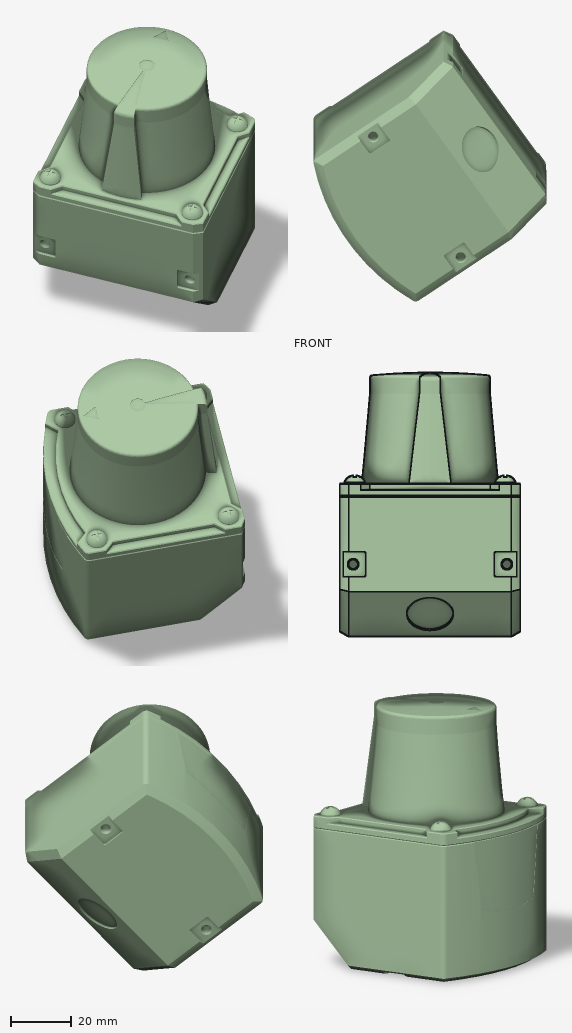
import cadquery as cq
import math

overall_width = 60.0
overall_depth = 61.0
overall_height = 87.74

casing_top = 50.85
parting_z = 46.65
back_radius = 72.0
back_corner_radius = 2.0
bevel_width = 3.0
bevel_angle = 30.0
front_slope = 15.0
edge_break = 0.3

ledge_drop = 2.0
recess_width = 3.0
side_recess_center_y = -3.0
side_recess_length = 40.5
front_recess_length = 46.0
back_recess_corner_x = 21.3
back_recess_width = 3.9
back_recess_radius = 57.0

pad_size = 8.3
pad_depth = 1.0
pad_corner_radius = 0.6
pad_offset_x = 25.5
pad_hole_diameter = 3.1
pad_hole_depth = 5.0
front_pad_z = 24.05
bottom_pad_y = 2.7
knockout_diameter = 15.4
knockout_depth = 0.8

label_depth = 0.1
label_top_half_width = 18.5
label_bottom_half_width = 15.0
label_corner_z = 23.0
label_bottom_z = 20.8

knob_base_radius = 22.7
knob_top_radius = 20.0
knob_band_z = 80.75
crown_sphere_radius = 200.0
knob_rim_radius = 1.0
pointer_radius = 23.1
pointer_rim_radius = 1.5
pointer_half_angle = 8.65
pointer_base_radius = 26.1
pointer_base_half_angle = 15.5
engraving_depth = 0.2
hub_radius = 2.6
mark_tip_y = 18.5
mark_side = 5.3

screw_x = 25.0
screw_front_y = -25.4
screw_back_y = 19.3
head_radius = 3.5
head_rim_height = 0.35
head_height = 2.8
slot_length = 4.0
slot_width = 0.9
slot_depth = 0.65

margin = 10.0
tolerance = 0.01

half_width = overall_width / 2
half_depth = overall_depth / 2
bevel_drop = bevel_width * math.tan(math.radians(bevel_angle))
back_axis_y = half_depth - back_radius
back_corner_y = back_axis_y + math.sqrt(back_radius**2 - half_width**2)
ledge_z = casing_top - ledge_drop


def plan_prism(points, bottom, top):
    """Straight-sided prism over a closed XY polygon."""
    return cq.Workplane("XY", origin=(0, 0, bottom)).polyline(points).close().extrude(top - bottom)


def plan_outline(height):
    """Plan shape: straight front and sides, bowed back with rounded corners."""
    return (
        cq.Workplane("XY")
        .moveTo(-half_width, -half_depth)
        .lineTo(half_width, -half_depth)
        .lineTo(half_width, back_corner_y)
        .threePointArc((0, half_depth), (-half_width, back_corner_y))
        .close()
        .extrude(height)
        .edges("|Z")
        .edges(">Y")
        .fillet(back_corner_radius)
    )


def bevelled_block():
    """Side profile with the sloped lower front, narrowed by bevels towards both flanks.

    The block runs past the back and the top so that only its front, slope and underside keep the bevel.
    """
    profile = [
        (-half_depth, casing_top + margin),
        (-half_depth, front_slope),
        (front_slope - half_depth, 0),
        (half_depth + margin, 0),
        (half_depth + margin, casing_top + margin),
    ]
    flat = half_width - bevel_width
    block = cq.Workplane("YZ").polyline(profile).close().extrude(flat, both=True)
    cap = (
        cq.Workplane("YZ", origin=(flat, 0, 0))
        .polyline(profile)
        .close()
        .extrude(bevel_width, taper=bevel_angle)
    )
    return block.union(cap).union(cap.mirror("YZ"))


def back_bevel_disc():
    """Disc around the back's axis whose lower rim gives the bowed bottom bevel."""
    return (
        cq.Workplane("XZ", origin=(0, back_axis_y, 0))
        .polyline([
            (0, 0),
            (back_radius - bevel_width, 0),
            (back_radius, bevel_drop),
            (back_radius, casing_top),
            (0, casing_top),
        ])
        .close()
        .revolve(360, (0, 0, 0), (0, 1, 0))
    )


def casing_blank():
    return plan_outline(casing_top).intersect(bevelled_block()).intersect(back_bevel_disc())


def slab(bottom, top):
    """Block wider than the casing between two heights."""
    size = 2 * overall_depth
    return cq.Workplane("XY", origin=(0, 0, bottom)).rect(size, size).extrude(top - bottom)


def mounting_pad(plane):
    """Square recess with a countersunk hole, sunk along the plane's inward side."""
    recess = (
        cq.Workplane(plane)
        .rect(pad_size, pad_size)
        .extrude(-pad_depth)
        .edges(cq.selectors.ParallelDirSelector(plane.zDir))
        .fillet(pad_corner_radius)
    )
    floor = cq.Workplane(plane).workplane(offset=-pad_depth)
    hole = floor.circle(pad_hole_diameter / 2).extrude(-pad_hole_depth)
    mouth_radius = pad_hole_diameter / 2 + edge_break
    mouth = floor.circle(mouth_radius).workplane(offset=-edge_break).circle(pad_hole_diameter / 2).loft()
    return recess.union(hole).union(mouth)


def knockout():
    """Shallow round recess in the middle of the sloped face."""
    slope_plane = cq.Plane(
        origin=(0, front_slope / 2 - half_depth, front_slope / 2),
        xDir=(1, 0, 0),
        normal=(0, -1, -1),
    )
    return cq.Workplane(slope_plane).circle(knockout_diameter / 2).extrude(-knockout_depth)


def label_panel():
    """Layer just under the bowed back, trimmed to a tapered panel with a curved lower edge."""
    layer = (
        cq.Workplane("XY", origin=(0, back_axis_y, 0))
        .circle(back_radius + margin)
        .circle(back_radius - label_depth)
        .extrude(casing_top)
    )
    panel = (
        cq.Workplane("XZ")
        .moveTo(-label_top_half_width, parting_z)
        .lineTo(-label_bottom_half_width, label_corner_z)
        .threePointArc((0, label_bottom_z), (label_bottom_half_width, label_corner_z))
        .lineTo(label_top_half_width, parting_z)
        .close()
        .extrude(-overall_depth)
    )
    return layer.intersect(panel)


def build_housing():
    housing = casing_blank().intersect(slab(0, parting_z))
    housing = housing.faces(">Z").edges().chamfer(edge_break)
    for x in (-pad_offset_x, pad_offset_x):
        front_plane = cq.Plane(origin=(x, -half_depth, front_pad_z), xDir=(1, 0, 0), normal=(0, -1, 0))
        bottom_plane = cq.Plane(origin=(x, bottom_pad_y, 0), xDir=(1, 0, 0), normal=(0, 0, -1))
        housing = housing.cut(mounting_pad(front_plane)).cut(mounting_pad(bottom_plane))
    return housing.cut(knockout()).cut(label_panel())


def straight_recess(length):
    """Recess along +X at y = 0, with 45 degree ends, opening towards -Y."""
    half = length / 2
    inner_half = half - recess_width
    points = [
        (-half - margin, -margin),
        (-inner_half, recess_width),
        (inner_half, recess_width),
        (half + margin, -margin),
    ]
    return plan_prism(points, ledge_z, casing_top + margin)


def back_recess():
    """Recess along the bowed back, with its own more tightly curved inner wall."""
    inner_y = half_depth - back_recess_width
    corner_drop = back_recess_radius - math.sqrt(back_recess_radius**2 - back_recess_corner_x**2)
    corner_y = inner_y - corner_drop
    end_x = back_recess_corner_x + 2 * margin
    end_y = corner_y + 2 * margin
    return (
        cq.Workplane("XY", origin=(0, 0, ledge_z))
        .moveTo(-end_x, end_y)
        .lineTo(-back_recess_corner_x, corner_y)
        .threePointArc((0, inner_y), (back_recess_corner_x, corner_y))
        .lineTo(end_x, end_y)
        .close()
        .extrude(ledge_drop + margin)
    )


class LedgeRim(cq.Selector):
    """Picks the outer edges of the recess floors."""

    def filter(self, objects):
        return [edge for edge in objects if self.is_rim(edge)]

    def is_rim(self, edge):
        middle = edge.positionAt(0.5)
        outside = max(abs(middle.x) - half_width, abs(middle.y) - half_depth)
        return abs(middle.z - ledge_z) < tolerance and abs(outside) < tolerance


def build_cover():
    cover = casing_blank().intersect(slab(parting_z, casing_top))
    cover = cover.faces("<Z").edges().chamfer(edge_break)
    cover = cover.cut(straight_recess(front_recess_length).translate((0, -half_depth, 0)))
    side = straight_recess(side_recess_length).rotate((0, 0, 0), (0, 0, 1), -90)
    side = side.translate((-half_width, side_recess_center_y, 0))
    cover = cover.cut(side).cut(side.mirror("YZ")).cut(back_recess())
    cover = cover.faces(">Z").edges().chamfer(edge_break)
    return cover.edges(LedgeRim()).chamfer(edge_break)


def crowned_disc(radius, apex_z, rim_radius):
    """Turned disc from the knob band up, with a slightly domed top and a rounded rim."""
    edge_z = apex_z - crown_sphere_radius + math.sqrt(crown_sphere_radius**2 - radius**2)
    mid = radius / 2
    mid_z = apex_z - crown_sphere_radius + math.sqrt(crown_sphere_radius**2 - mid**2)
    return (
        cq.Workplane("XZ")
        .moveTo(0, knob_band_z)
        .lineTo(radius, knob_band_z)
        .lineTo(radius, edge_z)
        .threePointArc((mid, mid_z), (0, apex_z))
        .close()
        .revolve(360, (0, 0, 0), (0, 1, 0))
        .edges("%CIRCLE")
        .edges(cq.selectors.NearestToPointSelector((0, 0, edge_z)))
        .fillet(rim_radius)
    )


def sector_wire(workplane, radius, half_angle):
    """Sector with its corner on the knob axis, pointing to -Y, its rim split at the middle."""
    def rim_point(angle):
        return radius * math.sin(math.radians(angle)), -radius * math.cos(math.radians(angle))

    return (
        workplane.moveTo(0, 0)
        .lineTo(*rim_point(-half_angle))
        .threePointArc(rim_point(-half_angle / 2), rim_point(0))
        .threePointArc(rim_point(half_angle / 2), rim_point(half_angle))
        .close()
    )


def pointer_prism():
    band = cq.Workplane("XY", origin=(0, 0, knob_band_z))
    return sector_wire(band, pointer_radius, pointer_half_angle).extrude(overall_height - knob_band_z)


def pointer_skirt():
    """Flared lower part of the pointer, from the lid up to the knob band."""
    base = sector_wire(cq.Workplane("XY", origin=(0, 0, casing_top)), pointer_base_radius, pointer_base_half_angle)
    top = base.workplane(offset=knob_band_z - casing_top)
    return sector_wire(top, pointer_radius, pointer_half_angle).loft(ruled=True)


def engraving_prisms():
    """Pointer, hub circle and triangular mark, standing through the crown."""
    height = overall_height - knob_band_z
    hub = cq.Workplane("XY", origin=(0, 0, knob_band_z)).circle(hub_radius).extrude(height)
    mark_base_y = mark_tip_y - mark_side * math.sin(math.radians(60))
    mark = plan_prism(
        [(0, mark_tip_y), (-mark_side / 2, mark_base_y), (mark_side / 2, mark_base_y)],
        knob_band_z,
        overall_height,
    )
    return pointer_prism().union(hub).union(mark)


def build_knob():
    body = (
        cq.Workplane("XZ")
        .polyline([
            (0, casing_top),
            (knob_base_radius, casing_top),
            (knob_top_radius, knob_band_z),
            (0, knob_band_z),
        ])
        .close()
        .revolve(360, (0, 0, 0), (0, 1, 0))
    )
    crown = crowned_disc(knob_top_radius, overall_height, knob_rim_radius)
    sunk_crown = crowned_disc(pointer_radius, overall_height - engraving_depth, pointer_rim_radius)
    pointer = pointer_prism().intersect(sunk_crown)
    knob = body.union(pointer_skirt()).union(crown.cut(engraving_prisms().cut(sunk_crown)))
    return knob.union(pointer)


def build_screw(x, y):
    """Cross-slotted round head resting on the lid."""
    dome_height = head_height - head_rim_height
    dome_radius = (head_radius**2 + dome_height**2) / (2 * dome_height)
    mid_radius = head_radius / 2
    mid_z = head_height - dome_radius + math.sqrt(dome_radius**2 - mid_radius**2)
    head = (
        cq.Workplane("YZ")
        .lineTo(-head_radius, 0)
        .lineTo(-head_radius, head_rim_height)
        .threePointArc((-mid_radius, mid_z), (0, head_height))
        .close()
        .revolve(360, (0, 0, 0), (0, 1, 0))
    )
    for length_x, length_y in ((slot_length, slot_width), (slot_width, slot_length)):
        slot = cq.Workplane("XY", origin=(0, 0, head_height)).rect(length_x, length_y).extrude(-slot_depth)
        head = head.cut(slot)
    return head.translate((x, y, casing_top))


housing = build_housing()
lid = build_cover().union(build_knob())
screws = [
    build_screw(x, y)
    for x in (-screw_x, screw_x)
    for y in (screw_front_y, screw_back_y)
]

result = cq.Compound.makeCompound([housing.val(), lid.val(), *[screw.val() for screw in screws]])